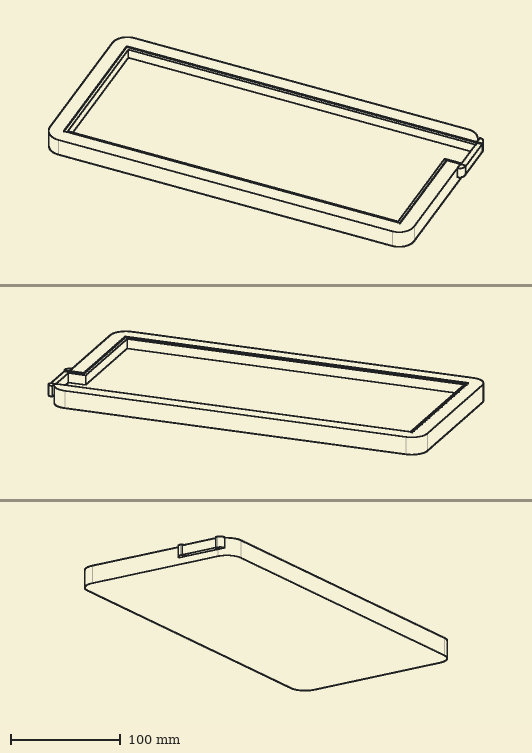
import cadquery as cq

total_length = 368.5
width = 167.5
height = 17.0
corner_radius = 15.0

sill_thickness = 5.0
tab_height = 10.5
sill_width = 36.5
tab_width = 6.5
tab_radius = 4.8

tray_length = total_length - sill_thickness
rim_width = 14.0
ledge_width = 3.0
ledge_drop = 1.0
floor_height = height - tab_height

pocket_length = tray_length - 2 * rim_width
pocket_width = width - 2 * rim_width
pocket_back = width - rim_width
opening_length = rim_width + ledge_width
sill_front = pocket_back - sill_width
ledge_height = height - ledge_drop
sill_height = ledge_height - floor_height


def box(x, y, z, length, depth, tall):
    """Box with its lowest corner at (x, y, z)."""
    return cq.Workplane("XY").box(length, depth, tall, centered=False).translate((x, y, z))


def cavity(inset, bottom):
    """Pocket and side opening, inset from the rim, open upward from the bottom level."""
    depth = height - bottom
    pocket = box(
        rim_width + inset,
        rim_width + inset,
        bottom,
        pocket_length - 2 * inset,
        pocket_width - 2 * inset,
        depth,
    )
    opening = box(
        tray_length - opening_length,
        sill_front + inset,
        bottom,
        opening_length,
        sill_width - 2 * inset,
        depth,
    )
    return pocket.union(opening)


def make_tray():
    """Rounded tray whose stepped pocket runs through the +X wall to a low sill across the opening."""
    blank = box(0, 0, 0, tray_length, width, height).edges("|Z").fillet(corner_radius)
    sill = box(tray_length, sill_front, floor_height, sill_thickness, sill_width, sill_height)
    stepped = blank.cut(cavity(0, ledge_height)).cut(cavity(ledge_width, floor_height))
    return stepped.union(sill).clean()


def make_tab(y, outer_edge):
    """Tab on the +X wall beside the sill, with its free outer corner rounded."""
    tab = box(tray_length, y, floor_height, sill_thickness, tab_width, tab_height)
    return tab.edges("|Z and >X").edges(outer_edge).fillet(tab_radius)


tray = make_tray()
front_tab = make_tab(sill_front - tab_width, "<Y")
back_tab = make_tab(pocket_back, ">Y")

result = cq.Compound.makeCompound([tray.val(), front_tab.val(), back_tab.val()])